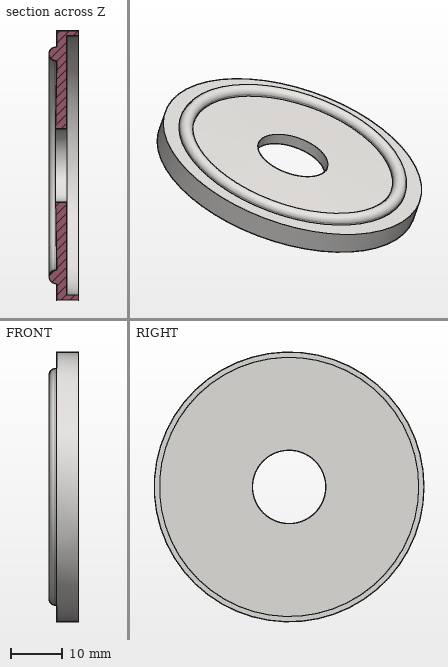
import cadquery as cq

outer_diameter = 52.5
bore_diameter = 14.25
total_thickness = 5.8
rim_thickness = 4.25
bead_outer_diameter = 46.2
bead_inner_diameter = 40.65
bead_crown_height = 1.2
bead_side_draft = 0.05
cone_rise = 0.25
bore_length = 2.25
recess_diameter = 50.4

outer_radius = outer_diameter / 2
bore_radius = bore_diameter / 2
recess_radius = recess_diameter / 2
bead_outer_radius = bead_outer_diameter / 2
bead_inner_radius = bead_inner_diameter / 2
bead_middle_radius = (bead_outer_radius + bead_inner_radius) / 2

back_face = total_thickness / 2
front_face = back_face - rim_thickness
bead_crown = -total_thickness / 2
bead_shoulder = bead_crown + bead_crown_height
bore_front = front_face - cone_rise
recess_floor = bore_front + bore_length

section = (
    cq.Workplane("XY")
    .moveTo(recess_floor, bore_radius)
    .lineTo(recess_floor, recess_radius)
    .lineTo(back_face, recess_radius)
    .lineTo(back_face, outer_radius)
    .lineTo(front_face, outer_radius)
    .lineTo(front_face, bead_outer_radius)
    .lineTo(bead_shoulder, bead_outer_radius - bead_side_draft)
    .threePointArc(
        (bead_crown, bead_middle_radius),
        (bead_shoulder, bead_inner_radius + bead_side_draft),
    )
    .lineTo(front_face, bead_inner_radius)
    .lineTo(bore_front, bore_radius)
    .close()
)

result = section.revolve(360, (0, 0, 0), (1, 0, 0))